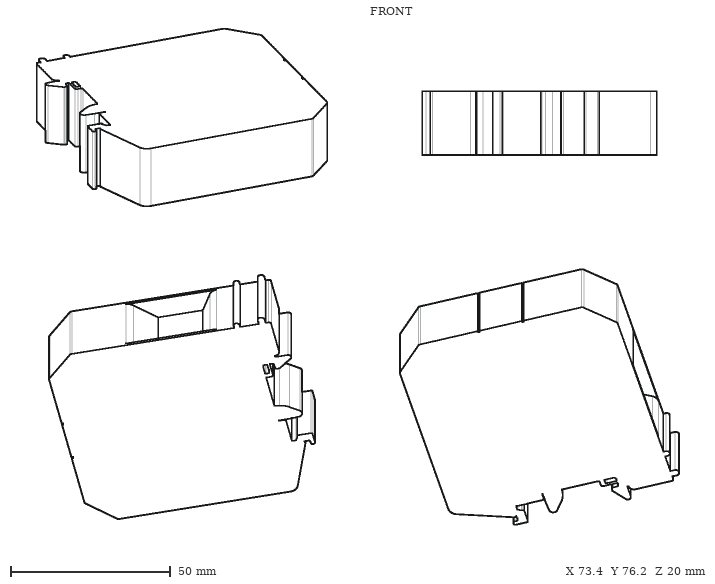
import cadquery as cq
import math

thickness = 20.0
body_right = 70.9
body_top = 76.2
foot_y = 3.3
rail_seat_y = 9.5
shelf_y = 7.2

bevel = 8.8
bevel_round = 1.0

hook_left = 14.6
hook_right = 19.6
hook_inner = 17.2
hook_round = 1.0
hook_gap_top = 4.95

prong_left = 34.65
prong_right = 40.9
slit_width = 0.15

catch_left = 48.2
catch_recess = 50.2
catch_neck = 51.2
catch_bottom = 0.3

window_right = 20.9
window_bottom = 8.1

ribs = [(14.0, 1.9, 1.75), (6.0, 2.2, 2.5)]

groove_centers = [28.3, 42.65]
groove_width = 0.5
groove_depth = 0.45

pocket_skin = 0.8
pocket_depth = 7.5
pocket_floor_low = 26.6
pocket_floor_high = 40.9
low_wall_angle = math.radians(60)
high_wall_angle = math.radians(45)
low_mouth_round = 2.7
high_mouth_round = 3.05
mouth_margin = 2.3
cut_clearance = 0.75


def rounded_prism(corners, height):
    """Extrude a closed outline of (x, y, radius) corners; radius 0 stays sharp."""
    points = [cq.Vector(x, y) for x, y, _ in corners]
    edges = []
    sections = []
    for i, (_, _, radius) in enumerate(corners):
        corner = points[i]
        if radius == 0:
            sections.append((corner, corner))
            continue
        back = (points[i - 1] - corner).normalized()
        ahead = (points[(i + 1) % len(points)] - corner).normalized()
        half_angle = back.getAngle(ahead) / 2
        setback = radius / math.tan(half_angle)
        start = corner + back * setback
        end = corner + ahead * setback
        apex_distance = radius / math.sin(half_angle) - radius
        middle = corner + (back + ahead).normalized() * apex_distance
        edges.append(cq.Edge.makeThreePointArc(start, middle, end))
        sections.append((start, end))
    for i, (start, _) in enumerate(sections):
        edges.append(cq.Edge.makeLine(sections[i - 1][1], start))
    wire = cq.Wire.combine(edges)[0]
    face = cq.Face.makeFromWires(wire)
    return cq.Workplane(obj=cq.Solid.extrudeLinear(face, cq.Vector(0, 0, height)))


def make_body():
    foot = [
        (0, foot_y, 0.7),
        (13.7, foot_y, 1.7),
        (14.25, hook_gap_top, 0),
        (hook_left, hook_gap_top, 0),
    ]
    hook = [
        (hook_left, -2.0, hook_round),
        (hook_right, 4.65, 0.3),
        (hook_right, 5.95, 0.6),
        (hook_inner, 5.95, 0.6),
        (hook_inner, shelf_y, 0),
    ]
    rail_seat = [
        (22.5, shelf_y, 0.75),
        (22.5, rail_seat_y, 0.45),
        (prong_left, rail_seat_y, 0),
    ]
    prong = [
        (35.05, 6.4, 6.1),
        (40.45, -0.7, 1.4),
        (prong_right, 5.7, 0),
        (prong_right, rail_seat_y, 0),
        (prong_right + slit_width, rail_seat_y, 0),
    ]
    catch = [
        (prong_right + slit_width, shelf_y, 0.6),
        (catch_recess, shelf_y, 0),
        (catch_recess, 5.95, 0.2),
        (49.05, 5.25, 0.2),
        (catch_left, 5.2, 0),
        (catch_left, catch_bottom, 0.45),
        (52.9, catch_bottom, 0.6),
        (52.9, 1.7, 0.6),
        (catch_neck, 1.7, 0.4),
        (catch_neck, 3.5, 0),
        (51.9, 3.2, 0.15),
    ]
    upper_housing = [
        (body_right, 10.05, 3.05),
        (body_right, body_top - bevel, bevel_round),
        (body_right - bevel, body_top, bevel_round),
        (bevel, body_top, bevel_round),
        (0, body_top - bevel, bevel_round),
    ]
    return rounded_prism(foot + hook + rail_seat + prong + catch + upper_housing, thickness)


def make_rib(center_y, width, reach):
    """Rib with a half-round nose along the left wall."""
    straight = reach - width / 2
    nose = cq.Workplane().center(-straight, center_y).circle(width / 2).extrude(thickness)
    web = cq.Workplane().center(0, center_y).rect(2 * straight, width).extrude(thickness)
    return nose.union(web)


def make_window():
    corners = [
        (hook_inner, window_bottom, 0.15),
        (window_right, window_bottom, 0.45),
        (window_right, rail_seat_y, 0.15),
        (hook_inner, rail_seat_y, 0.75),
    ]
    return rounded_prism(corners, thickness)


def make_pocket():
    """Pocket with sloping end walls that round over into the left wall."""
    mouth_low = pocket_floor_low - pocket_depth / math.tan(low_wall_angle)
    mouth_high = pocket_floor_high + pocket_depth / math.tan(high_wall_angle)
    corners = [
        (-cut_clearance, mouth_low - mouth_margin, 0),
        (0, mouth_low - mouth_margin, 0),
        (0, mouth_low, low_mouth_round),
        (pocket_depth, pocket_floor_low, 0),
        (pocket_depth, pocket_floor_high, 0),
        (0, mouth_high, high_mouth_round),
        (0, mouth_high + mouth_margin, 0),
        (-cut_clearance, mouth_high + mouth_margin, 0),
    ]
    pocket = rounded_prism(corners, thickness - 2 * pocket_skin)
    return pocket.translate((0, 0, pocket_skin))


result = make_body().cut(make_pocket()).cut(make_window())

for rib_center, rib_width, rib_reach in ribs:
    result = result.union(make_rib(rib_center, rib_width, rib_reach))

for groove_center in groove_centers:
    groove = cq.Workplane().center(groove_center, body_top)
    groove = groove.rect(groove_width, 2 * groove_depth).extrude(thickness)
    result = result.cut(groove)